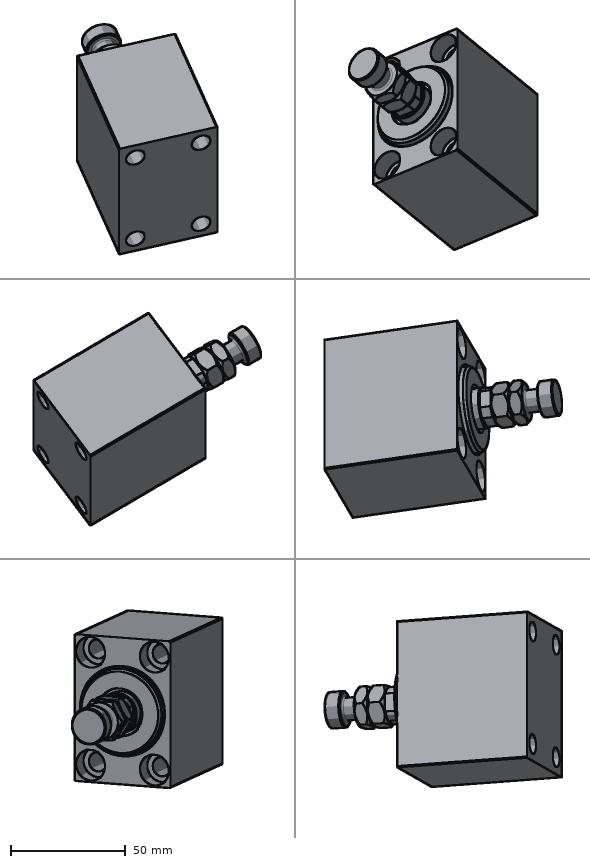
import cadquery as cq
import math

HEAD_LENGTH = 7.0
HEX_START = 13.8
THIN_HEX_LENGTH = 6.1
THICK_HEX_LENGTH = 8.0
FLATS_LENGTH = 4.95
GLAND_START = 36.0
HOUSING_START = 39.0
HOUSING_END = 99.0

HOUSING_WIDTH = 45.0
HOUSING_HEIGHT = 65.0
EDGE_CHAMFER = 0.5
BOLT_SPACING_Y = 30.0
BOLT_SPACING_Z = 50.0
BOLT_HOLE_DIAMETER = 8.5
BOLT_HEAD_DIAMETER = 13.6
BOLT_HEAD_DEPTH = 8.5
BORE_CHAMFER = 1.0

GLAND_DIAMETER = 38.0
GLAND_SEAT_DEPTH = 11.9
GLAND_CHAMFER_RADIAL = 1.0
GLAND_CHAMFER_AXIAL = 1.3
WIPER_DIAMETER = 21.2
WIPER_DEPTH = 2.0

ROD_DIAMETER = 18.0
ROD_NOSE_DIAMETER = 17.0
ROD_FLATS = 15.0
ROD_CHAMFER = 0.5
ROD_NOSE_CHAMFER = 0.3

HEAD_DIAMETER = 16.0
HEAD_CHAMFER = 0.5
NECK_DIAMETER = 10.0
NECK_FILLET = 0.8
HEX_FLATS = 17.0
HEX_FACE_DIAMETER = 16.4
HEX_BEVEL = 2.0

THICK_HEX_START = HEX_START + THIN_HEX_LENGTH
ROD_START = THICK_HEX_START + THICK_HEX_LENGTH
ROD_SHOULDER = ROD_START + FLATS_LENGTH
GLAND_END = HOUSING_START + GLAND_SEAT_DEPTH


def cylinder(diameter, start, end):
    """Cylinder on the X axis between two axial positions."""
    return cq.Workplane("YZ", origin=(start, 0, 0)).circle(diameter / 2).extrude(end - start)


def make_housing():
    """Block with four counterbored bolt holes and a chamfered blind bore for the gland."""
    length = HOUSING_END - HOUSING_START
    block = (
        cq.Workplane("YZ", origin=(HOUSING_START, 0, 0))
        .rect(HOUSING_WIDTH, HOUSING_HEIGHT)
        .extrude(length)
        .edges("|X")
        .chamfer(EDGE_CHAMFER)
    )
    block = (
        block.faces("<X")
        .workplane(origin=(HOUSING_START, 0, 0))
        .rect(BOLT_SPACING_Y, BOLT_SPACING_Z, forConstruction=True)
        .vertices()
        .cboreHole(BOLT_HOLE_DIAMETER, BOLT_HEAD_DIAMETER, BOLT_HEAD_DEPTH)
    )
    bore = cylinder(GLAND_DIAMETER, HOUSING_START, GLAND_END)
    bore_radius = GLAND_DIAMETER / 2
    bore_mouth = (
        cq.Workplane("XY")
        .moveTo(HOUSING_START, 0)
        .lineTo(HOUSING_START, bore_radius + BORE_CHAMFER)
        .lineTo(HOUSING_START + BORE_CHAMFER, bore_radius)
        .lineTo(HOUSING_START + BORE_CHAMFER, 0)
        .close()
        .revolve(360, (0, 0, 0), (1, 0, 0))
    )
    return block.cut(bore).cut(bore_mouth)


def make_gland():
    """Guide bush with a bevelled rim, a wiper recess and a hole for the rod."""
    gland = (
        cylinder(GLAND_DIAMETER, GLAND_START, GLAND_END)
        .faces("<X")
        .chamfer(GLAND_CHAMFER_AXIAL, GLAND_CHAMFER_RADIAL)
    )
    wiper_recess = cylinder(WIPER_DIAMETER, GLAND_START, GLAND_START + WIPER_DEPTH)
    rod_hole = cylinder(ROD_DIAMETER, GLAND_START, GLAND_END)
    return gland.cut(wiper_recess).cut(rod_hole)


def make_rod():
    """Round rod with a reduced nose that carries four wrench flats."""
    shaft = cylinder(ROD_DIAMETER, ROD_SHOULDER, GLAND_END).faces("<X").chamfer(ROD_CHAMFER)
    nose = cylinder(ROD_NOSE_DIAMETER, ROD_START, ROD_SHOULDER).faces("<X").chamfer(ROD_NOSE_CHAMFER)
    flats = (
        cq.Workplane("YZ", origin=(ROD_START, 0, 0))
        .rect(ROD_FLATS, ROD_FLATS)
        .extrude(FLATS_LENGTH)
    )
    return shaft.union(nose.intersect(flats))


def make_hex(start, length):
    """Hexagon with flats facing +Z and -Z, its corners bevelled at 45 degrees at both ends."""
    hex_corners = HEX_FLATS / math.cos(math.radians(30))
    hexagon = (
        cq.Workplane("YZ", origin=(start, 0, 0))
        .polygon(6, hex_corners)
        .extrude(length)
    )
    bevelled_round = (
        cylinder(HEX_FACE_DIAMETER + 2 * HEX_BEVEL, start, start + length)
        .faces("<X or >X")
        .chamfer(HEX_BEVEL)
    )
    return hexagon.intersect(bevelled_round)


def make_coupling():
    """Round head on a filleted neck, followed by a thin and a thick hexagon."""
    head = cylinder(HEAD_DIAMETER, 0, HEAD_LENGTH).faces("<X or >X").chamfer(HEAD_CHAMFER)
    neck_radius = NECK_DIAMETER / 2
    flare_radius = neck_radius + NECK_FILLET
    neck = (
        cq.Workplane("XY")
        .moveTo(HEAD_LENGTH, 0)
        .lineTo(HEAD_LENGTH, flare_radius)
        .radiusArc((HEAD_LENGTH + NECK_FILLET, neck_radius), -NECK_FILLET)
        .lineTo(HEX_START - NECK_FILLET, neck_radius)
        .radiusArc((HEX_START, flare_radius), -NECK_FILLET)
        .lineTo(HEX_START, 0)
        .close()
        .revolve(360, (0, 0, 0), (1, 0, 0))
    )
    thin_hex = make_hex(HEX_START, THIN_HEX_LENGTH)
    thick_hex = make_hex(THICK_HEX_START, THICK_HEX_LENGTH)
    return head.union(neck).union(thin_hex).union(thick_hex)


housing = make_housing()
gland = make_gland()
rod = make_rod()
coupling = make_coupling()

result = cq.Compound.makeCompound([housing.val(), gland.val(), rod.val(), coupling.val()])